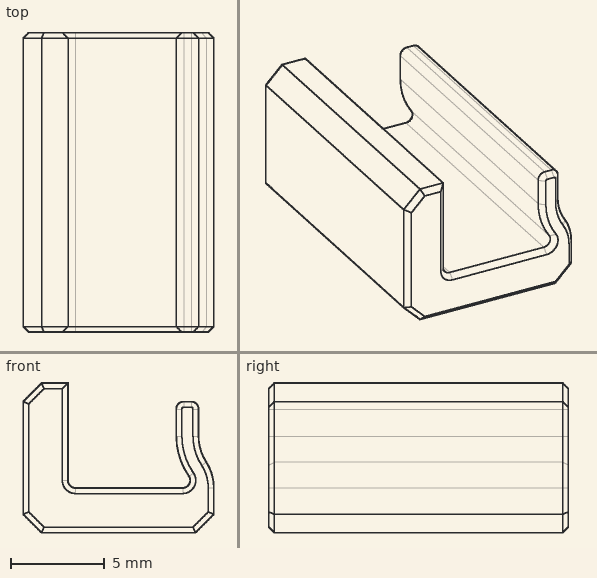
import cadquery as cq
import math

width = 10.2
length = 16.0
height = 8.0
wall_thickness = 2.4
corner_chamfer = 1.0
end_chamfer = 0.3
corner_radius = 0.4

arm_thickness = 1.2
arm_top = 7.0
arm_offset = 0.82
bend_top = 5.17

arm_outer = width - arm_offset
arm_inner = arm_outer - arm_thickness
half_shift = arm_offset / 2
half_drop = (bend_top - wall_thickness) / 2
outer_radius = (half_shift**2 + half_drop**2) / (2 * half_shift)
bend_middle = (arm_outer + half_shift, bend_top - half_drop)

inner_radius = outer_radius + arm_thickness
bend_center = (arm_outer + outer_radius, bend_top)
lower_center = (width - outer_radius, wall_thickness)

corner_z = wall_thickness + corner_radius
corner_sin = (bend_top - corner_z) / (inner_radius + corner_radius)
corner_angle = math.degrees(math.asin(corner_sin))
corner_x = bend_center[0] - (inner_radius + corner_radius) * math.cos(math.radians(corner_angle))
corner_center = (corner_x, corner_z)


def on_circle(center, radius, degrees):
    angle = math.radians(degrees)
    return (center[0] + radius * math.cos(angle), center[1] + radius * math.sin(angle))


def make_profile():
    bend_angle = math.degrees(math.asin(half_drop / outer_radius))
    corner_mid_angle = (corner_angle - 90) / 2
    wall_corner = (wall_thickness + corner_radius, wall_thickness + corner_radius)
    tip_left = (arm_inner + corner_radius, arm_top - corner_radius)
    tip_right = (arm_outer - corner_radius, arm_top - corner_radius)
    return (
        cq.Workplane("XZ")
        .moveTo(corner_chamfer, 0)
        .lineTo(width - corner_chamfer, 0)
        .lineTo(width, corner_chamfer)
        .lineTo(width, wall_thickness)
        .threePointArc(on_circle(lower_center, outer_radius, bend_angle / 2), bend_middle)
        .threePointArc(
            on_circle(bend_center, outer_radius, 180 + bend_angle / 2), (arm_outer, bend_top)
        )
        .lineTo(arm_outer, tip_right[1])
        .threePointArc(on_circle(tip_right, corner_radius, 45), (tip_right[0], arm_top))
        .lineTo(tip_left[0], arm_top)
        .threePointArc(on_circle(tip_left, corner_radius, 135), (arm_inner, tip_left[1]))
        .lineTo(arm_inner, bend_top)
        .threePointArc(
            on_circle(bend_center, inner_radius, 180 + corner_angle / 2),
            on_circle(bend_center, inner_radius, 180 + corner_angle),
        )
        .threePointArc(
            on_circle(corner_center, corner_radius, corner_mid_angle),
            (corner_x, wall_thickness),
        )
        .lineTo(wall_corner[0], wall_thickness)
        .threePointArc(
            on_circle(wall_corner, corner_radius, 225), (wall_thickness, wall_corner[1])
        )
        .lineTo(wall_thickness, height)
        .lineTo(corner_chamfer, height)
        .lineTo(0, height - corner_chamfer)
        .lineTo(0, corner_chamfer)
        .close()
    )


body = make_profile().extrude(length / 2, both=True)
result = body.faces("<Y or >Y").edges().chamfer(end_chamfer)